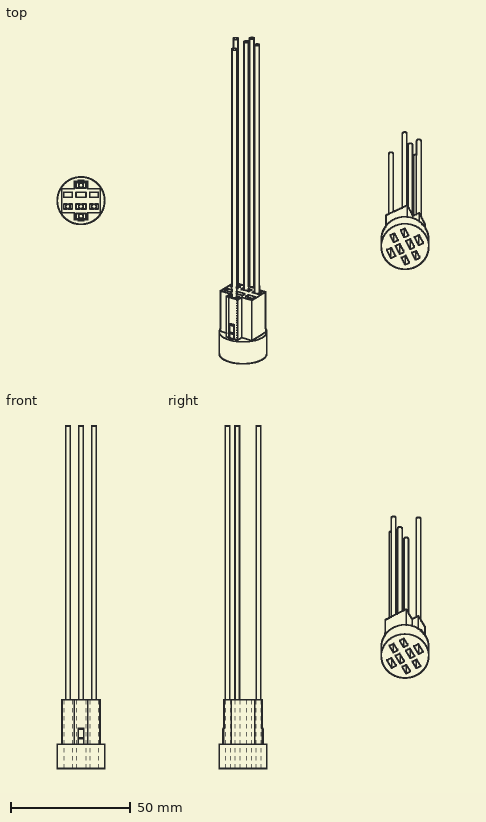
import cadquery as cq

total_height = 144.0
collar_height = 10.2
housing_height = 29.0

collar_diameter = 20.0
block_width = 16.1
block_depth = 10.1
tab_width = 5.8
tab_span = block_width

column_pitch = 5.5
row_offset = 2.5
outer_slot_width = 3.5
middle_slot_width = 4.0
row_slot_depth = 2.0
tab_slot_offset = 6.5
tab_slot_depth = 2.2

latch_width = 2.3
latch_reach = 0.5
latch_step = 0.1
latch_groove_height = 0.5
lower_pad_top = 12.5
upper_pad_top = 16.4
latch_top = upper_pad_top + latch_groove_height

wire_diameter = 2.0

column_positions = [-column_pitch, 0, column_pitch]


def make_slot(x, y, width, depth):
    """Rectangular cutter running through the full housing height."""
    return cq.Workplane("XY").center(x, y).rect(width, depth).extrude(housing_height)


def make_housing():
    """Round collar carrying the cross-shaped block, with all terminal slots cut through."""
    collar = cq.Workplane("XY").circle(collar_diameter / 2).extrude(collar_height)
    block = cq.Workplane("XY").rect(block_width, block_depth).extrude(housing_height)
    tabs = cq.Workplane("XY").rect(tab_width, tab_span).extrude(housing_height)
    body = collar.union(block).union(tabs)

    for x in column_positions:
        width = middle_slot_width if x == 0 else outer_slot_width
        for y in (-row_offset, row_offset):
            body = body.cut(make_slot(x, y, width, row_slot_depth))

    for y in (-tab_slot_offset, tab_slot_offset):
        body = body.cut(make_slot(0, y, middle_slot_width, tab_slot_depth))
    return body


def make_latch(side):
    """Strip on the tab at the given side of Y (-1 or +1), with two raised pads and a groove between."""
    face = side * tab_span / 2
    pad_face = face + side * latch_reach
    strip_face = pad_face - side * latch_step
    upper_pad_bottom = lower_pad_top + latch_groove_height
    profile = [
        (face, collar_height),
        (pad_face, collar_height),
        (pad_face, lower_pad_top),
        (strip_face, lower_pad_top),
        (strip_face, upper_pad_bottom),
        (pad_face, upper_pad_bottom),
        (pad_face, upper_pad_top),
        (strip_face, upper_pad_top),
        (strip_face, latch_top),
        (face, latch_top),
    ]
    return cq.Workplane("YZ").polyline(profile).close().extrude(latch_width / 2, both=True)


def make_wire(x, y):
    """Straight round wire standing on the housing top, over a slot."""
    base = cq.Workplane("XY", origin=(x, y, housing_height))
    return base.circle(wire_diameter / 2).extrude(total_height - housing_height)


wire_positions = [(x, -row_offset) for x in column_positions]
wire_positions += [(0, -tab_slot_offset), (0, tab_slot_offset)]

housing = make_housing()
latches = [make_latch(side).val() for side in (-1, 1)]
wires = [make_wire(x, y).val() for x, y in wire_positions]

result = cq.Compound.makeCompound([housing.val(), *latches, *wires])